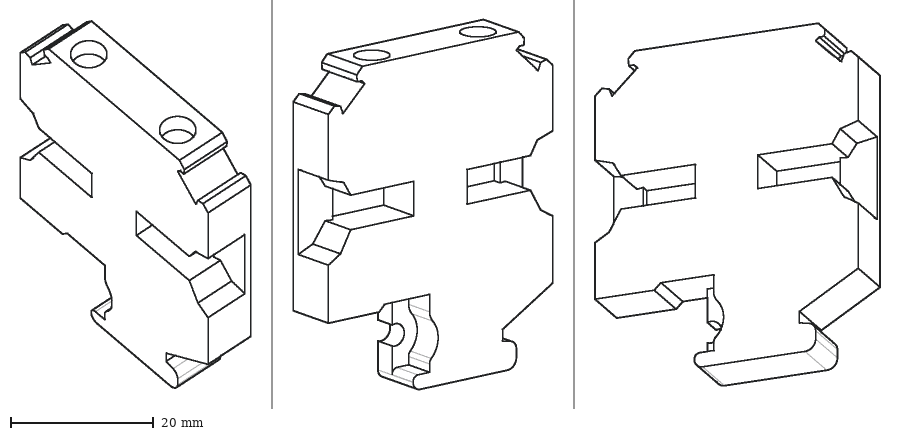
import cadquery as cq
import math

width = 40.0
thickness = 8.0
height = 49.0

underside_z = 12.6
ledge_z = 13.55
ledge_start_x = 9.0
ledge_end_x = 10.05
foot_left_x = 15.1
foot_neck_x = 31.05
foot_right_x = 33.5
foot_left_radius = 1.25
toe_bottom_radius = 1.6
toe_top_radius = 1.25
neck_bottom_z = 4.4
neck_top_z = 6.12
toe_top_z = 3.9
slope_top_z = 11.25

corner_groove = [
    (0, 5.95),
    (1.1, 4.9),
    (2.15, 5.15),
    (2.6, 6.25),
    (6.45, 2.6),
    (5.95, 2.1),
    (5.15, 2.1),
    (5.05, 1.1),
    (6.1, 0),
]

slot_top_z = 30.6
slot_bottom_z = 25.55
slot_end_x = 15.25
slot_depth = 6.85
sill_depth = 5.5
sill_x = 5.05
funnel_end_x = 3.95
funnel_upper = [(2.75, 32.65), (0, 33.45)]
funnel_lower = [(0, 21.05), (2.15, 22.35)]

screw_hole_diameter = 5.1
screw_hole_depth = 2.8
screw_hole_y = 3.6
screw_hole_xs = (10.55, 29.45)

recess_depth = 4.75
recess_floor_z = 2.2
recess_wall_x = 18.05
lip_radius = 0.9
pin_x = 15.65
pin_z = 7.0
pin_radius = 1.6
bulge_radius = 3.9
upper_blend_radius = 2.2
lower_blend_radius = 1.05


def front_sketch():
    """Plane with local axes X and Z; a negative extrusion goes back from the front face."""
    return cq.Workplane("XZ")


def make_body():
    left_corner = [(x, height - drop) for x, drop in corner_groove]
    right_corner = [(width - x, z) for x, z in reversed(left_corner)]
    outline = [
        (foot_left_x, 0),
        (foot_left_x, ledge_z),
        (ledge_end_x, ledge_z),
        (ledge_start_x, underside_z),
        (0, underside_z),
        *left_corner,
        *right_corner,
        (width, slope_top_z),
        (foot_neck_x, neck_top_z),
        (foot_neck_x, neck_bottom_z),
        (foot_right_x, toe_top_z),
        (foot_right_x, 0),
    ]
    body = front_sketch().polyline(outline).close().extrude(-thickness)
    for x, z, radius in (
        (foot_left_x, 0, foot_left_radius),
        (foot_right_x, 0, toe_bottom_radius),
        (foot_right_x, toe_top_z, toe_top_radius),
    ):
        edge = cq.selectors.NearestToPointSelector((x, thickness / 2, z))
        body = body.edges("|Y").edges(edge).fillet(radius)
    return body


def make_wire_entry():
    """Slot with a flared mouth; the mouth floor rises to a sill, then steps down into the slot."""
    outline = [
        *funnel_lower,
        (funnel_end_x, slot_bottom_z),
        (slot_end_x, slot_bottom_z),
        (slot_end_x, slot_top_z),
        (funnel_end_x, slot_top_z),
        *funnel_upper,
    ]
    opening = front_sketch().polyline(outline).close().extrude(-thickness)
    floor_profile = [
        (0, 0),
        (slot_end_x, 0),
        (slot_end_x, slot_depth),
        (sill_x, slot_depth),
        (sill_x, sill_depth),
        (0, slot_depth),
    ]
    depth_limit = cq.Workplane("XY").polyline(floor_profile).close().extrude(height)
    return opening.intersect(depth_limit)


def mirror_to_right(shape):
    return shape.mirror("YZ").translate((width, 0, 0))


def make_screw_holes():
    return (
        cq.Workplane("XY", origin=(0, 0, height - screw_hole_depth))
        .pushPoints([(x, screw_hole_y) for x in screw_hole_xs])
        .circle(screw_hole_diameter / 2)
        .extrude(screw_hole_depth)
    )


def blend_points(radius, side):
    """Wall tangent point, arc midpoint and bulge tangent point; side is +1 above, -1 below."""
    center_dx = recess_wall_x + radius - pin_x
    center_dz = math.sqrt((bulge_radius + radius) ** 2 - center_dx**2)
    center_z = pin_z + side * center_dz
    angle = math.atan2(center_dz, center_dx)
    wall_point = (recess_wall_x, center_z)
    middle_point = (
        recess_wall_x + radius - radius * math.cos(angle / 2),
        center_z - side * radius * math.sin(angle / 2),
    )
    bulge_point = (
        pin_x + bulge_radius * math.cos(angle),
        pin_z + side * bulge_radius * math.sin(angle),
    )
    return wall_point, middle_point, bulge_point


def make_foot_recess():
    upper_wall, upper_middle, upper_bulge = blend_points(upper_blend_radius, 1)
    lower_wall, lower_middle, lower_bulge = blend_points(lower_blend_radius, -1)
    lip_arc_offset = lip_radius * (1 - math.sqrt(0.5))
    return (
        front_sketch()
        .moveTo(foot_left_x, ledge_z)
        .lineTo(recess_wall_x, ledge_z)
        .lineTo(*upper_wall)
        .threePointArc(upper_middle, upper_bulge)
        .threePointArc((pin_x + bulge_radius, pin_z), lower_bulge)
        .threePointArc(lower_middle, lower_wall)
        .lineTo(recess_wall_x, recess_floor_z)
        .lineTo(foot_left_x + lip_radius, recess_floor_z)
        .threePointArc(
            (foot_left_x + lip_arc_offset, recess_floor_z - lip_arc_offset),
            (foot_left_x, recess_floor_z - lip_radius),
        )
        .close()
        .extrude(-recess_depth)
    )


def make_pin_notch():
    """Round hole that breaks out through the left side of the foot."""
    return front_sketch().center(pin_x, pin_z).circle(pin_radius).extrude(-thickness)


wire_entry = make_wire_entry()
result = (
    make_body()
    .cut(wire_entry)
    .cut(mirror_to_right(wire_entry))
    .cut(make_screw_holes())
    .cut(make_foot_recess())
    .cut(make_pin_notch())
)